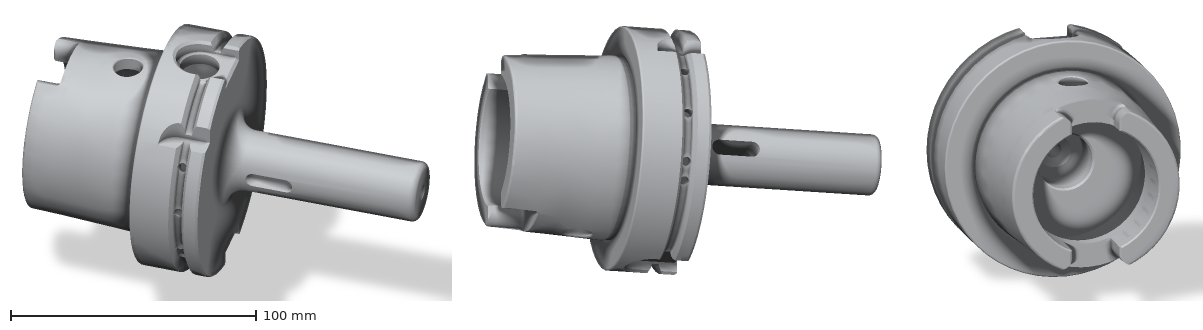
import cadquery as cq
import math

taper_end_x = -50.0
relief_start_x = -2.4
flange_back_x = 29.0
shank_end_x = 110.0

taper_gauge_radius = 37.0
taper_gauge_x = -20.0
taper_slope = 0.05
taper_end_fillet = 1.0
relief_depth = 0.4
relief_edge = 0.8
face_recess_radius = 38.8
face_recess_depth = 0.5

flange_radius = 50.0
flange_front_fillet = 0.8
back_chamfer_length = 1.0
back_chamfer_depth = 0.5
groove_center_x = 19.9
groove_floor_radius = 46.0
groove_floor_half_width = 1.4
groove_wall_half_width = 1.8
groove_mouth_half_width = 3.2
groove_wall_radius = 47.7

shank_radius = 12.5
shank_end_fillet = 2.5
neck_fillet = 8.0

bore_radius = 26.6
bore_inner_radius = 26.2
bore_chamfer = 0.6
shoulder_x = -30.0
shoulder_angle = 60.0
chamber_radius = 31.5
chamber_step_x = -10.0
chamber_inner_radius = 32.0
bore_floor_x = -4.0
thread_radius = 11.5
thread_chamfer = 0.8
thread_floor_x = 12.0
cone_radius = 6.7
coolant_radius = 3.2
cone_half_angle = 59.0

keyway_half_width = 10.0
keyway_flare_radius = 5.0
keyway_flare_start = 27.3
keyway_floor_fillet = 1.6
keyway_chamfer = 0.9
upper_keyway_depth = 10.0
lower_keyway_depth = 15.0

access_hole_radius = 6.0
access_hole_x = -15.2
access_hole_chamfer = 0.4

notch_center_x = 15.2
notch_half_width = 9.8
notch_floor_z = 44.0
notch_chamfer = 1.2
notch_back_chamfer = 1.2
chip_hole_radius = 8.1
chip_hole_depth = 5.0

orientation_offset = 31.5
orientation_radius = 7.4
orientation_end_x = 9.0

balance_hole_radius = 1.85
balance_hole_depth = 4.0
balance_hole_angles = (30.0, 5.0, -20.0, -30.0)

cross_slot_start_x = 38.4
cross_slot_length = 19.9
cross_slot_width = 6.3

arc_share = 1 - math.sqrt(0.5)


def taper_radius(x):
    """Radius of the taper at station x."""
    return taper_gauge_radius + taper_slope * (x - taper_gauge_x)


def turned_body():
    """Solid of revolution: taper, flange, neck and shank."""
    end_radius = taper_radius(taper_end_x)
    root_radius = taper_radius(relief_start_x)
    relief_floor_radius = root_radius - relief_depth
    neck_radius = shank_radius + neck_fillet
    neck_end_x = flange_back_x + neck_fillet
    return (
        cq.Workplane("XY")
        .moveTo(taper_end_x, 0)
        .lineTo(taper_end_x, end_radius - taper_end_fillet)
        .threePointArc(
            (taper_end_x + taper_end_fillet * arc_share, end_radius - taper_end_fillet * arc_share),
            (taper_end_x + taper_end_fillet, taper_radius(taper_end_x + taper_end_fillet)),
        )
        .lineTo(relief_start_x, root_radius)
        .lineTo(relief_start_x + relief_edge, relief_floor_radius)
        .lineTo(face_recess_depth, relief_floor_radius)
        .lineTo(0, face_recess_radius)
        .lineTo(0, flange_radius - flange_front_fillet)
        .threePointArc(
            (flange_front_fillet * arc_share, flange_radius - flange_front_fillet * arc_share),
            (flange_front_fillet, flange_radius),
        )
        .lineTo(flange_back_x - back_chamfer_length, flange_radius)
        .lineTo(flange_back_x, flange_radius - back_chamfer_depth)
        .lineTo(flange_back_x, neck_radius)
        .threePointArc(
            (flange_back_x + neck_fillet * arc_share, shank_radius + neck_fillet * arc_share),
            (neck_end_x, shank_radius),
        )
        .lineTo(shank_end_x - shank_end_fillet, shank_radius)
        .threePointArc(
            (shank_end_x - shank_end_fillet * arc_share, shank_radius - shank_end_fillet * arc_share),
            (shank_end_x, shank_radius - shank_end_fillet),
        )
        .lineTo(shank_end_x, 0)
        .close()
        .revolve(360, (0, 0, 0), (1, 0, 0))
    )


def gripper_groove():
    """Ring cutter for the groove around the flange."""
    return (
        cq.Workplane("XY")
        .moveTo(groove_center_x - groove_mouth_half_width, flange_radius)
        .lineTo(groove_center_x - groove_wall_half_width, groove_wall_radius)
        .lineTo(groove_center_x - groove_floor_half_width, groove_floor_radius)
        .lineTo(groove_center_x + groove_floor_half_width, groove_floor_radius)
        .lineTo(groove_center_x + groove_wall_half_width, groove_wall_radius)
        .lineTo(groove_center_x + groove_mouth_half_width, flange_radius)
        .close()
        .revolve(360, (0, 0, 0), (1, 0, 0))
    )


def axial_bore():
    """Stepped bore: clamping bore, wider clamping chamber, thread core, cone and coolant channel."""
    shoulder_length = (chamber_radius - bore_inner_radius) / math.tan(math.radians(shoulder_angle))
    cone_length = (cone_radius - coolant_radius) / math.tan(math.radians(cone_half_angle))
    return (
        cq.Workplane("XY")
        .moveTo(taper_end_x, 0)
        .lineTo(taper_end_x, bore_radius + bore_chamfer)
        .lineTo(taper_end_x + bore_chamfer, bore_radius)
        .lineTo(shoulder_x, bore_inner_radius)
        .lineTo(shoulder_x + shoulder_length, chamber_radius)
        .lineTo(chamber_step_x, chamber_radius)
        .lineTo(chamber_step_x, chamber_inner_radius)
        .lineTo(bore_floor_x, chamber_inner_radius)
        .lineTo(bore_floor_x, thread_radius + thread_chamfer)
        .lineTo(bore_floor_x + thread_chamfer, thread_radius)
        .lineTo(thread_floor_x, thread_radius)
        .lineTo(thread_floor_x, cone_radius)
        .lineTo(thread_floor_x + cone_length, coolant_radius)
        .lineTo(shank_end_x, coolant_radius)
        .lineTo(shank_end_x, 0)
        .close()
        .revolve(360, (0, 0, 0), (1, 0, 0))
    )


def keyway_section():
    """Keyway outline across X: parallel walls that flare outwards near the taper surface."""
    half = keyway_half_width
    flare = keyway_flare_radius
    flare_top = keyway_flare_start + flare
    flare_edge = half + flare
    return (
        cq.Workplane("YZ", origin=(taper_end_x, 0, 0))
        .moveTo(-half, 0)
        .lineTo(half, 0)
        .lineTo(half, keyway_flare_start)
        .threePointArc(
            (half + flare * arc_share, flare_top - flare * arc_share),
            (flare_edge, flare_top),
        )
        .lineTo(flare_edge, flange_radius)
        .lineTo(-flare_edge, flange_radius)
        .lineTo(-flare_edge, flare_top)
        .threePointArc(
            (-half - flare * arc_share, flare_top - flare * arc_share),
            (-half, keyway_flare_start),
        )
        .close()
    )


def keyway_lead_in():
    """Chamfers where the keyway walls meet the end face."""
    mouth_half_width = keyway_half_width + keyway_chamfer
    return (
        cq.Workplane("XY")
        .moveTo(taper_end_x, -mouth_half_width)
        .lineTo(taper_end_x + keyway_chamfer, -keyway_half_width)
        .lineTo(taper_end_x + keyway_chamfer, keyway_half_width)
        .lineTo(taper_end_x, mouth_half_width)
        .close()
        .extrude(keyway_flare_start + keyway_flare_radius)
    )


def keyway(depth):
    """Upper keyway cutter with rounded floor edges and chamfered mouth."""
    slot = keyway_section().extrude(depth).faces(">X").edges().fillet(keyway_floor_fillet)
    return slot.union(keyway_lead_in())


def gripper_notch():
    """Upper flange notch with a flat floor, a round front end and an open back."""
    height = flange_radius - notch_floor_z
    round_end = (
        cq.Workplane("XY", origin=(notch_center_x, 0, notch_floor_z))
        .circle(notch_half_width)
        .extrude(height)
    )
    straight = (
        cq.Workplane("XY", origin=(notch_center_x, -notch_half_width, notch_floor_z))
        .rect(flange_back_x - notch_center_x, 2 * notch_half_width, centered=False)
        .extrude(height)
    )
    return round_end.union(straight)


def with_chamfered_notch(body):
    """Body with the upper notch cut and its rim and back floor edge chamfered."""
    rim_bottom_z = (notch_floor_z + flange_radius) / 2
    rim_box = cq.selectors.BoxSelector(
        (0, -flange_radius / 2, rim_bottom_z),
        (flange_back_x - back_chamfer_length, flange_radius / 2, 2 * flange_radius),
    )
    floor_edge = cq.selectors.NearestToPointSelector((flange_back_x, 0, notch_floor_z))
    notched = body.cut(gripper_notch())
    notched = notched.edges(rim_box).chamfer(notch_chamfer)
    return notched.edges(floor_edge).chamfer(notch_back_chamfer)


def chip_hole():
    """Flat-bottomed blind hole in the upper notch floor."""
    return (
        cq.Workplane("XY", origin=(notch_center_x, 0, notch_floor_z - chip_hole_depth))
        .circle(chip_hole_radius)
        .extrude(chip_hole_depth)
    )


def orientation_notch():
    """Corner notch with a flat floor and a rounded front end."""
    center_x = orientation_end_x + orientation_radius
    center_y = -orientation_offset - orientation_radius
    return (
        cq.Workplane("XY", origin=(0, 0, orientation_offset))
        .moveTo(orientation_end_x, -flange_radius)
        .lineTo(orientation_end_x, center_y)
        .threePointArc(
            (
                orientation_end_x + orientation_radius * arc_share,
                -orientation_offset - orientation_radius * arc_share,
            ),
            (center_x, -orientation_offset),
        )
        .lineTo(flange_back_x, -orientation_offset)
        .lineTo(flange_back_x, -flange_radius)
        .close()
        .extrude(flange_radius - orientation_offset)
    )


def with_access_hole(body):
    """Body with a cross hole through both walls of the hollow taper, chamfered outside."""
    hole = (
        cq.Workplane("XY", origin=(access_hole_x, 0, -flange_radius))
        .circle(access_hole_radius)
        .extrude(2 * flange_radius)
    )
    drilled = body.cut(hole)
    for side in (1, -1):
        rim_point = (access_hole_x, 0, side * taper_radius(access_hole_x))
        rim = cq.selectors.NearestToPointSelector(rim_point)
        drilled = drilled.edges(rim).chamfer(access_hole_chamfer)
    return drilled


def balance_hole(angle):
    """Radial blind hole in the groove floor."""
    return (
        cq.Workplane("XZ", origin=(groove_center_x, balance_hole_depth - groove_floor_radius, 0))
        .circle(balance_hole_radius)
        .extrude(flange_radius - groove_floor_radius + balance_hole_depth)
        .rotate((0, 0, 0), (1, 0, 0), -angle)
    )


def cross_slot():
    """Round-ended slot through the shank along Y."""
    return (
        cq.Workplane("XZ", origin=(cross_slot_start_x + cross_slot_length / 2, 0, 0))
        .slot2D(cross_slot_length, cross_slot_width)
        .extrude(shank_radius, both=True)
    )


def turned_over(shape):
    """Copy of a shape turned half a turn about the part axis."""
    return shape.rotate((0, 0, 0), (1, 0, 0), 180)


result = with_chamfered_notch(turned_body())
result = turned_over(with_chamfered_notch(turned_over(result)))
result = result.cut(gripper_groove()).cut(axial_bore())
result = result.cut(keyway(upper_keyway_depth))
result = result.cut(turned_over(keyway(lower_keyway_depth)))
result = with_access_hole(result)
result = result.cut(chip_hole()).cut(orientation_notch())
for hole_angle in balance_hole_angles:
    result = result.cut(balance_hole(hole_angle))
result = result.cut(cross_slot())